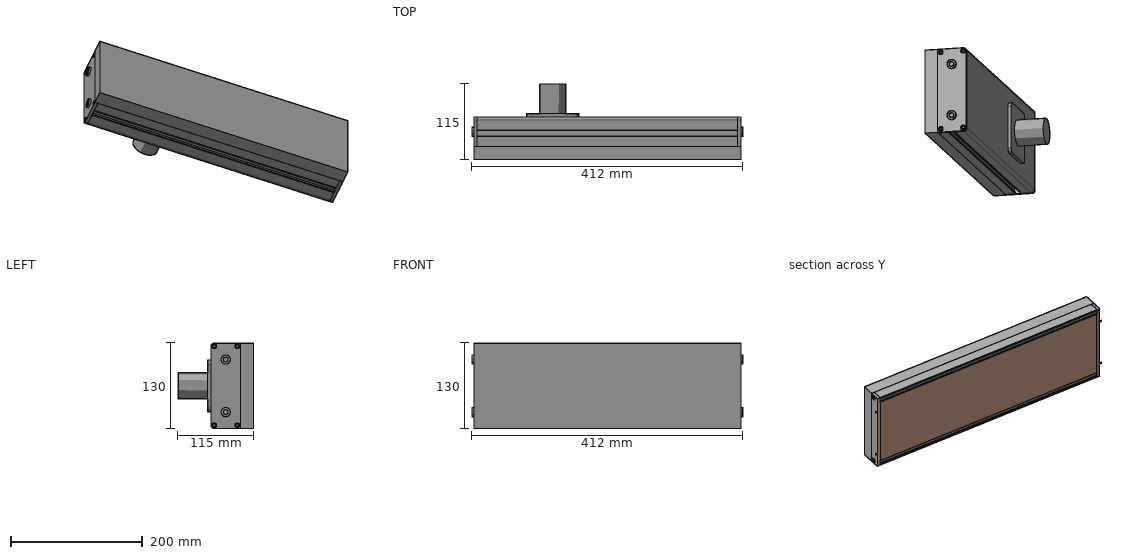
import cadquery as cq
import math

length = 406.0
height = 130.0
foam_depth = 20.0
profile_depth = 45.0
corner_radius = 5.0

plate_thickness = 5.0
screw_inset = 5.0
screw_recess_diameter = 7.2
screw_recess_depth = 0.2
screw_socket_across_flats = 4.0
screw_socket_depth = 2.5
plug_diameter = 14.0
plug_height = 3.0
plug_spacing = 80.0
plug_socket_across_flats = 7.0
plug_socket_depth = 3.0

slot_from_foam = 20.0
slot_mouth_width = 8.2
slot_mouth_depth = 0.8
slot_neck_width = 9.7
slot_neck_depth = 3.0
slot_cavity_width = 12.0
slot_cavity_depth = 8.5

flange_size = 79.0
flange_thickness = 5.0
flange_radius = 7.0
pipe_diameter = 40.0
pipe_length = 45.0
pipe_from_end = 120.0

profile_length = length - 2 * plate_thickness
back_y = foam_depth + profile_depth
plate_middle_y = foam_depth + profile_depth / 2
slot_y = foam_depth + slot_from_foam
pipe_x = pipe_from_end - length / 2
screw_z = height / 2 - screw_inset
plug_places = [(plate_middle_y, z) for z in (-plug_spacing / 2, plug_spacing / 2)]
screw_places = [
    (y, z) for y in (foam_depth + screw_inset, back_y - screw_inset) for z in (-screw_z, screw_z)
]


def section_block(x_length):
    """Block with the profile's outline: square at the foam, rounded at the two back edges."""
    block = cq.Workplane("XY").box(x_length, profile_depth, height)
    return block.translate((0, plate_middle_y, 0)).edges("|X and >Y").fillet(corner_radius)


def hex_prism(across_flats, depth):
    """Hexagonal prism along X with corners pointing up and down."""
    across_corners = across_flats / math.cos(math.pi / 6)
    prism = cq.Workplane("YZ").polygon(6, across_corners).extrude(depth)
    return prism.rotate((0, 0, 0), (1, 0, 0), 90)


def make_foam():
    return cq.Workplane("XY").box(length, foam_depth, height).translate((0, foam_depth / 2, 0))


def make_profile():
    """Profile with a slot along its upper and lower faces that widens in steps going inward."""
    profile = section_block(profile_length)
    slot_steps = [
        (slot_mouth_width, 0, slot_mouth_depth),
        (slot_neck_width, slot_mouth_depth, slot_neck_depth),
        (slot_cavity_width, slot_neck_depth, slot_cavity_depth),
    ]
    for side in (1, -1):
        for width, start_depth, end_depth in slot_steps:
            step = cq.Workplane("XY").box(profile_length, width, end_depth - start_depth)
            step_z = side * (height - start_depth - end_depth) / 2
            profile = profile.cut(step.translate((0, slot_y, step_z)))
    return profile


def make_end_plate(side):
    """End plate for the -X end (side = -1) or the +X end (side = 1)."""
    outer_x = side * length / 2
    plate = section_block(plate_thickness)
    plate = plate.translate((outer_x - side * plate_thickness / 2, 0, 0))
    outer_face = cq.Workplane("YZ", origin=(outer_x, 0, 0))

    plugs = outer_face.pushPoints(plug_places).circle(plug_diameter / 2)
    plate = plate.union(plugs.extrude(side * plug_height))
    plug_socket = hex_prism(plug_socket_across_flats, -side * plug_socket_depth)
    for y, z in plug_places:
        plate = plate.cut(plug_socket.translate((outer_x + side * plug_height, y, z)))

    recesses = outer_face.pushPoints(screw_places).circle(screw_recess_diameter / 2)
    plate = plate.cut(recesses.extrude(-side * screw_recess_depth))
    screw_socket = hex_prism(screw_socket_across_flats, -side * screw_socket_depth)
    for y, z in screw_places:
        plate = plate.cut(screw_socket.translate((outer_x, y, z)))
    return plate


def make_connector():
    """Square flange with rounded corners, carrying the round pipe connection."""
    flange = cq.Workplane("XY").box(flange_size, flange_thickness, flange_size)
    flange = flange.edges("|Y").fillet(flange_radius)
    flange = flange.translate((pipe_x, back_y + flange_thickness / 2, 0))
    pipe_start = (pipe_x, back_y + flange_thickness, 0)
    pipe = cq.Workplane("XZ", origin=pipe_start).circle(pipe_diameter / 2).extrude(-pipe_length)
    return flange.union(pipe)


foam = make_foam()
profile = make_profile()
end_plates = [make_end_plate(side) for side in (-1, 1)]
connector = make_connector()

result = cq.Compound.makeCompound(
    [foam.val(), profile.val(), *[plate.val() for plate in end_plates], connector.val()]
)